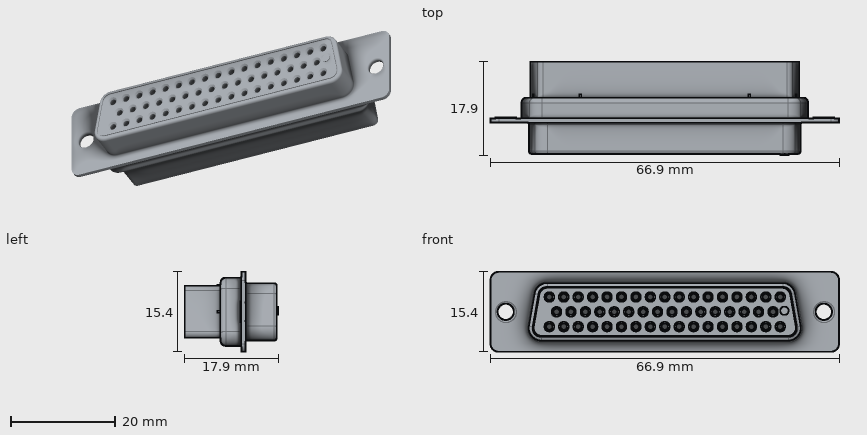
import cadquery as cq
import math


flange_length = 66.9
flange_height = 15.4
flange_thickness = 0.8
flange_corner_radius = 1.6
mount_spacing = 61.0
mount_diameter = 3.1
mount_entry_diameter = 4.0
mount_collar_diameter = 4.0
mount_collar_height = 0.2

side_lean = 10.0
shell_corner_radius = 2.4

front_width = 52.2
front_height = 11.05
front_length = 6.0
front_rim_radius = 0.6

base_fillet = 0.3

groove_outer_inset = 0.75
groove_width = 0.2
groove_depth = 0.2

rear_width = 55.0
rear_height = 13.1
rear_length = 4.0
rear_edge_radius = 1.0

insert_width = 51.65
insert_height = 10.05
insert_corner_radius = 1.1
insert_projection = 6.9

rib_width = 0.4
rib_height = 0.2
rib_projection = 0.6
top_rib_spacing = 32.4

full_row_count = 17
full_row_span = 44.3
outer_row_spacing = 5.7
cavity_diameter = 1.2
cavity_entry_diameter = 1.9
cavity_entry_depth = 0.35
cavity_depth = 4.0

pad_diameter = 1.6
pad_height = 0.2
pad_x = 22.95
pad_z = 0.2

front_face_y = -front_length
flange_back_y = flange_thickness
rear_shell_end_y = flange_back_y + rear_length
insert_end_y = rear_shell_end_y + insert_projection
lean_angle = math.radians(side_lean)
lean_slope = math.tan(lean_angle)


def plane_at(y):
    """XZ plane at the given Y, with its normal pointing to +Y."""
    return cq.Plane(origin=(0, y, 0), xDir=(-1, 0, 0), normal=(0, 1, 0))


def d_prism(width, height, radius, y_start, y_end):
    """Rounded D-shaped prism; width is measured across the round lower corners."""
    half_height = height / 2
    sharp_overhang = radius * math.tan((math.pi / 2 + lean_angle) / 2) - radius
    bottom_half = width / 2 + sharp_overhang
    top_half = bottom_half - height * lean_slope
    return (
        cq.Workplane(plane_at(y_start))
        .polyline([
            (-bottom_half, -half_height),
            (bottom_half, -half_height),
            (top_half, half_height),
            (-top_half, half_height),
        ])
        .close()
        .extrude(y_end - y_start)
        .edges("|Y")
        .fillet(radius)
    )


def cylinder(diameter, length, x, y, z):
    """Cylinder that starts at (x, y, z) and runs towards +Y."""
    return cq.Workplane(obj=cq.Solid.makeCylinder(
        diameter / 2, length, cq.Vector(x, y, z), cq.Vector(0, 1, 0)
    ))


def make_flange():
    """Plate with a collar behind each mounting hole and a rounded hole entry in front."""
    plate = (
        cq.Workplane(plane_at(0))
        .rect(flange_length, flange_height)
        .extrude(flange_thickness)
        .edges("|Y")
        .fillet(flange_corner_radius)
    )
    hole_length = flange_thickness + mount_collar_height
    for x in (-mount_spacing / 2, mount_spacing / 2):
        plate = plate.union(cylinder(mount_collar_diameter, hole_length, x, 0, 0))
        plate = plate.cut(cylinder(mount_diameter, hole_length, x, 0, 0))
    entry_radius = (mount_entry_diameter - mount_diameter) / 2
    return plate.faces("<Y").edges(cq.selectors.RadiusNthSelector(0)).fillet(entry_radius)


def make_front_shell():
    """Front D shell with a rounded rim."""
    shell = d_prism(front_width, front_height, shell_corner_radius, front_face_y, flange_back_y)
    return shell.faces("<Y").edges().fillet(front_rim_radius)


def make_rear_shell():
    """Rear D shell with a rounded rear edge."""
    shell = d_prism(rear_width, rear_height, shell_corner_radius, 0, rear_shell_end_y)
    return shell.faces(">Y").edges().fillet(rear_edge_radius)


def fillet_shell_base(body, y, width, height):
    """Round the inner corner where a shell of the given size meets the flange face at y."""
    margin = 0.1
    x_limit = width / 2 + margin
    z_limit = height / 2 + margin
    base_edges = cq.selectors.BoxSelector(
        (-x_limit, y - margin, -z_limit), (x_limit, y + margin, z_limit), boundingbox=True
    )
    return body.edges(base_edges).fillet(base_fillet)


def make_rim_groove():
    """Ring-shaped cutter that parts the contact insert from the shell rim."""
    groove_end_y = front_face_y + groove_depth

    def inset_prism(inset):
        return d_prism(
            front_width - 2 * inset,
            front_height - 2 * inset,
            shell_corner_radius - inset,
            front_face_y,
            groove_end_y,
        )

    return inset_prism(groove_outer_inset).cut(inset_prism(groove_outer_inset + groove_width))


def make_ribs():
    """Two ribs on top of the rear insert and one at mid-height on each side."""
    rib_length = rib_projection + rear_length
    rib_y = flange_back_y + rib_length / 2
    ribs = (
        cq.Workplane("XY")
        .pushPoints([(-top_rib_spacing / 2, rib_y), (top_rib_spacing / 2, rib_y)])
        .box(rib_width, rib_length, insert_height / 2 + rib_height, centered=(True, True, False))
    )
    corner_center_x = insert_width / 2 - insert_corner_radius
    corner_center_z = insert_height / 2 - insert_corner_radius
    side_half = corner_center_x + insert_corner_radius / math.cos(lean_angle) - corner_center_z * lean_slope
    side_ribs = cq.Workplane("XY").center(0, rib_y).box(
        2 * (side_half + rib_height), rib_length, rib_width
    )
    return ribs.union(side_ribs)


def make_cavities():
    """Cutters for the three staggered rows of blind cavities with tapered entries."""
    entry = cq.Solid.makeCone(
        cavity_entry_diameter / 2,
        cavity_diameter / 2,
        cavity_entry_depth,
        cq.Vector(0, front_face_y, 0),
        cq.Vector(0, 1, 0),
    )
    cavity = cylinder(cavity_diameter, cavity_depth, 0, front_face_y, 0).union(cq.Workplane(obj=entry)).val()
    pitch = full_row_span / (full_row_count - 1)
    cutters = []
    for row in (-1, 0, 1):
        count = full_row_count - 1 if row == 0 else full_row_count
        first_x = -pitch * (count - 1) / 2
        for column in range(count):
            place = cq.Vector(first_x + column * pitch, 0, row * outer_row_spacing / 2)
            cutters.append(cavity.translate(place))
    return cq.Workplane(obj=cq.Compound.makeCompound(cutters))


rear_insert = d_prism(insert_width, insert_height, insert_corner_radius, 0, insert_end_y)
body = make_flange().union(make_front_shell())
body = body.union(make_rear_shell())
body = fillet_shell_base(body, 0, front_width, front_height)
body = fillet_shell_base(body, flange_back_y, rear_width, rear_height)
body = body.union(rear_insert).union(make_ribs())
body = body.cut(make_rim_groove()).cut(make_cavities())
result = body.union(cylinder(pad_diameter, pad_height, pad_x, front_face_y - pad_height, pad_z))